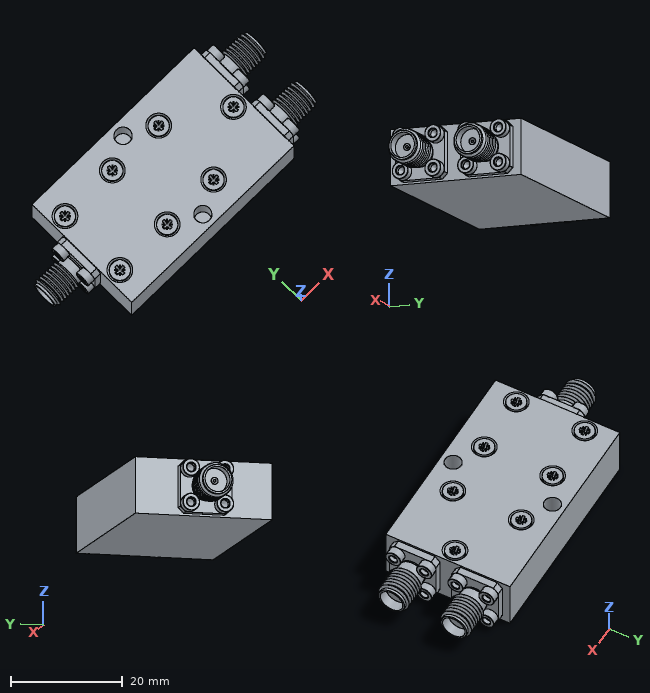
import cadquery as cq

total_length = 59.6
connector_length = 9.35
body_length = total_length - 2 * connector_length
body_width = 25.4
body_height = 10.3
body_top = body_height / 2

mount_hole_diameter = 3.2
mount_hole_depth = body_height / 2
mount_hole_y = 10.15

cover_screw_outer_diameter = 4.6
cover_screw_inner_diameter = 3.8
cover_screw_groove_depth = 0.55
cover_screw_near_x = 5.85
cover_screw_far_x = 17.75
cover_screw_y = 7.0
cross_span = 2.0
cross_slot_width = 0.55
cross_depth = 1.55
cross_tick_span = 1.9
cross_tick_width = 0.2
cross_tick_depth = 0.2

output_connector_y = body_width / 4
flange_side = 9.55
flange_thickness = 1.45
flange_chamfer = 1.0
shoulder_diameter = 5.1
shoulder_length = 0.3
barrel_diameter = 5.3
bore_diameter = 4.6
bore_depth = 2.1
contact_diameter = 1.25
contact_rim_diameter = 1.2
contact_chamfer = (contact_diameter - contact_rim_diameter) / 2
contact_length = 0.2
contact_hole_diameter = 0.47

thread_diameter = 6.25
thread_pitch = 0.7
tip_ridge_position = 0.9
main_ridge_position = 1.8
main_ridge_count = 6

flange_screw_offset = 3.15
flange_screw_diameter = 3.1
flange_screw_top_diameter = 3.0
flange_screw_chamfer = (flange_screw_diameter - flange_screw_top_diameter) / 2
flange_screw_height = 1.6
socket_rim_diameter = 1.8
socket_diameter = 1.55
socket_chamfer = (socket_rim_diameter - socket_diameter) / 2
socket_depth = 0.95
socket_cone_depth = 0.6


def turned(profile):
    """Solid of revolution about Z from (radius, height) points."""
    return cq.Workplane("XZ").polyline(profile).close().revolve(360, (0, 0), (0, 1))


def flange():
    block = cq.Workplane("XY").box(flange_side, flange_side, flange_thickness, centered=(True, True, False))
    return block.edges("|Z").chamfer(flange_chamfer)


def flange_screw():
    base = flange_thickness
    head_top = base + flange_screw_height
    wall_bottom = head_top - socket_depth
    return turned([
        (0, base),
        (flange_screw_diameter / 2, base),
        (flange_screw_diameter / 2, head_top - flange_screw_chamfer),
        (flange_screw_top_diameter / 2, head_top),
        (socket_rim_diameter / 2, head_top),
        (socket_diameter / 2, head_top - socket_chamfer),
        (socket_diameter / 2, wall_bottom),
        (0, wall_bottom - socket_cone_depth),
    ])


def barrel():
    root_radius = barrel_diameter / 2
    shoulder_top = flange_thickness + shoulder_length
    bore_floor = connector_length - bore_depth
    contact_end = bore_floor + contact_length
    profile = [
        (0, 0),
        (shoulder_diameter / 2, 0),
        (shoulder_diameter / 2, shoulder_top),
        (root_radius, shoulder_top),
    ]
    half_pitch = thread_pitch / 2
    first_crest = connector_length - main_ridge_position - (main_ridge_count - 1) * thread_pitch
    profile.append((root_radius, first_crest - half_pitch))
    for i in range(main_ridge_count):
        crest = first_crest + i * thread_pitch
        profile.append((thread_diameter / 2, crest))
        profile.append((root_radius, crest + half_pitch))
    tip_crest = connector_length - tip_ridge_position
    profile += [
        (root_radius, tip_crest - half_pitch),
        (thread_diameter / 2, tip_crest),
        (root_radius, tip_crest + half_pitch),
    ]
    profile += [
        (root_radius, connector_length),
        (bore_diameter / 2, connector_length),
        (bore_diameter / 2, bore_floor),
        (contact_diameter / 2, bore_floor),
        (contact_diameter / 2, contact_end - contact_chamfer),
        (contact_rim_diameter / 2, contact_end),
        (contact_hole_diameter / 2, contact_end),
        (contact_hole_diameter / 2, bore_floor),
        (0, bore_floor),
    ]
    return turned(profile)


def connector():
    """Connector standing on the XY plane and pointing along +Z."""
    part = flange().union(barrel())
    for x_side in (-1, 1):
        for y_side in (-1, 1):
            place = (x_side * flange_screw_offset, y_side * flange_screw_offset, 0)
            part = part.union(flange_screw().translate(place))
    return part


def cover_screw_cut():
    """Groove and tapered cross recess of one cover screw, with the housing top at Z = 0."""
    cut = turned([
        (cover_screw_inner_diameter / 2, 0),
        (cover_screw_outer_diameter / 2, 0),
        (cover_screw_inner_diameter / 2, -cover_screw_groove_depth),
    ])
    cone = turned([(0, 0), (cross_span / 2, 0), (0, -cross_depth)])
    for angle in (0, 90):
        slot = cq.Workplane("XY").rect(cross_span, cross_slot_width).extrude(-cross_depth).intersect(cone)
        tick = cq.Workplane("XY").rect(cross_tick_span, cross_tick_width).extrude(-cross_tick_depth)
        cut = cut.union(slot.rotate((0, 0, 0), (0, 0, 1), angle))
        cut = cut.union(tick.rotate((0, 0, 0), (0, 0, 1), angle + 45))
    return cut


result = cq.Workplane("XY").box(body_length, body_width, body_height)

mount_hole = cq.Workplane("XY").circle(mount_hole_diameter / 2).extrude(-mount_hole_depth)
for side in (-1, 1):
    result = result.cut(mount_hole.translate((0, side * mount_hole_y, body_top)))

cover_screw_places = [(cover_screw_far_x, 0)]
for x in (-cover_screw_far_x, -cover_screw_near_x, cover_screw_near_x):
    for side in (-1, 1):
        cover_screw_places.append((x, side * cover_screw_y))
for x, y in cover_screw_places:
    result = result.cut(cover_screw_cut().translate((x, y, body_top)))

input_connector = connector().rotate((0, 0, 0), (0, 1, 0), -90)
output_connector = connector().rotate((0, 0, 0), (0, 1, 0), 90)
result = result.union(input_connector.translate((-body_length / 2, 0, 0)))
for side in (-1, 1):
    result = result.union(output_connector.translate((body_length / 2, side * output_connector_y, 0)))